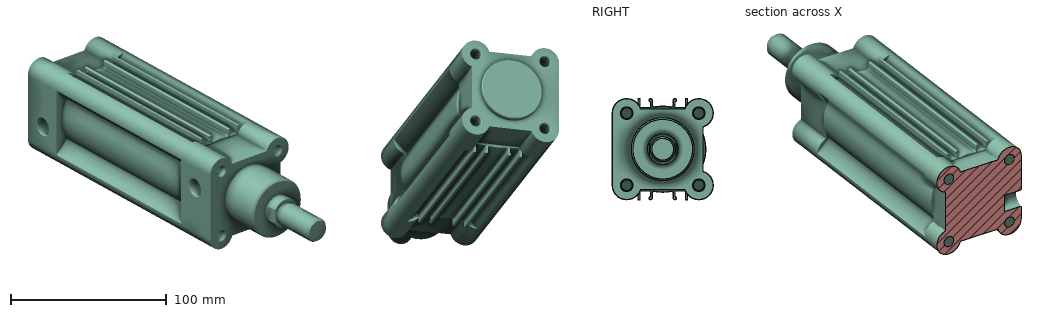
import cadquery as cq
import math


REAR_CAP_X = 4.0
TUBE_X = 33.0
FRONT_CAP_X = 159.8
FRONT_FACE_X = 189.5
BOSS_END_X = 218.0
SHOULDER_X = 226.4
THREAD_X = 229.5
ROD_END_X = 259.0

SIDE = 65.0
HALF_SIDE = SIDE / 2
EAR_RADIUS = 9.3
EAR_OFFSET = HALF_SIDE - EAR_RADIUS
FLAT_OFFSET = 26.0
BOSS_RADIUS = 20.2
REAR_BOSS_CHAMFER = 0.5
FRONT_BOSS_CHAMFER = 1.0
BOLT_HOLE_DIAMETER = 7.0
BOLT_HOLE_DEPTH = 15.5
PORT_DIAMETER = 11.7
PORT_DEPTH = 13.0
HOLE_CHAMFER = 0.5
PORT_SHIFT = 8.3
REAR_PORT_X = 19.2
FRONT_PORT_X = 174.0

TUBE_RADIUS = 27.7
RAIL_SLOPE = 11.7
SLOT_FLOOR = 27.0
SLOT_ROOT = 20.7
SLOT_WALL = 14.5
SLOT_FLOOR_EDGE = 18.1
WALL_THICKNESS = 1.5
RIB_INNER = 6.7
RIB_THICKNESS = 1.3
RIB_FOOT_WIDTH = 1.0
RIB_FOOT_TOP = 28.0
BEAD_RADIUS = 1.0

ROD_RADIUS = 9.8
FLAT_HALF_WIDTH = 8.5
FLAT_RUN_OUT_GAP = 0.5
THREAD_RADIUS = 8.0
UNDERCUT_RADIUS = 7.3
UNDERCUT_LENGTH = 1.5
THREAD_CHAMFER_LENGTH = 1.5
THREAD_CHAMFER_DEPTH = 1.0

EAR_CENTRES = [(y * EAR_OFFSET, z * EAR_OFFSET) for y in (-1, 1) for z in (-1, 1)]


def section_at(x):
    """Workplane across the axis at x, whose local axes are Y and Z."""
    return cq.Workplane("YZ", origin=(x, 0, 0))


def cap_block(x_start, x_end):
    """Square cap with four round ears, flat across the -Y side and recessed on the other three."""
    length = x_end - x_start
    core = section_at(x_start).rect(2 * FLAT_OFFSET, 2 * FLAT_OFFSET).extrude(length)
    ears = section_at(x_start).pushPoints(EAR_CENTRES).circle(EAR_RADIUS).extrude(length)
    side = (
        section_at(x_start)
        .center(-HALF_SIDE / 2, 0)
        .rect(HALF_SIDE, 2 * EAR_OFFSET)
        .extrude(length)
    )
    return core.union(ears).union(side)


def blind_hole(mouth, direction, diameter, depth):
    """Cutter for a blind round hole with a chamfered mouth."""
    radius = diameter / 2
    bore = cq.Solid.makeCylinder(radius, depth, mouth, direction)
    countersink = cq.Solid.makeCone(radius + HOLE_CHAMFER, radius, HOLE_CHAMFER, mouth, direction)
    return cq.Workplane(bore.fuse(countersink))


def cut_bolt_holes(cap, face_x, inward):
    """Cut one hole on each ear centre of the outer face; inward is +1 or -1 along X."""
    for y, z in EAR_CENTRES:
        mouth = cq.Vector(face_x, y, z)
        cap = cap.cut(blind_hole(mouth, cq.Vector(inward, 0, 0), BOLT_HOLE_DIAMETER, BOLT_HOLE_DEPTH))
    return cap


def port(x, z):
    """Cutter for an air port entering from the -Y side."""
    return blind_hole(cq.Vector(x, -HALF_SIDE, z), cq.Vector(0, 1, 0), PORT_DIAMETER, PORT_DEPTH)


def make_rear_cap():
    boss = (
        section_at(0)
        .circle(BOSS_RADIUS)
        .extrude(REAR_CAP_X)
        .faces("<X")
        .chamfer(REAR_BOSS_CHAMFER)
    )
    cap = cap_block(REAR_CAP_X, TUBE_X).union(boss)
    cap = cut_bolt_holes(cap, REAR_CAP_X, 1)
    return cap.cut(port(REAR_PORT_X, -PORT_SHIFT))


def make_front_cap():
    boss = (
        section_at(FRONT_FACE_X)
        .circle(BOSS_RADIUS)
        .extrude(BOSS_END_X - FRONT_FACE_X)
        .faces(">X")
        .chamfer(FRONT_BOSS_CHAMFER)
    )
    cap = cap_block(FRONT_CAP_X, FRONT_FACE_X).union(boss)
    cap = cut_bolt_holes(cap, FRONT_FACE_X, -1)
    return cap.cut(port(FRONT_PORT_X, PORT_SHIFT))


def extrude_tube_section(outline):
    return outline.close().extrude(FRONT_CAP_X - TUBE_X)


def corner_rail():
    """Rail in the +Y +Z corner: a quarter round with two 45-degree faces running in to the tube."""
    arc_middle = EAR_OFFSET + EAR_RADIUS * math.sqrt(0.5)
    root_near = EAR_OFFSET - RAIL_SLOPE
    root_far = HALF_SIDE - RAIL_SLOPE
    outline = (
        section_at(TUBE_X)
        .moveTo(EAR_OFFSET, HALF_SIDE)
        .threePointArc((arc_middle, arc_middle), (HALF_SIDE, EAR_OFFSET))
        .lineTo(root_far, root_near)
        .lineTo(root_near, root_far)
    )
    return extrude_tube_section(outline)


def slot_floor():
    """Flat floor of the sensor slot in the +Y +Z quarter, reaching under both of its walls."""
    outline = section_at(TUBE_X).polyline(
        [
            (RIB_INNER, SLOT_ROOT),
            (SLOT_FLOOR_EDGE, SLOT_ROOT),
            (SLOT_FLOOR_EDGE, SLOT_FLOOR),
            (RIB_INNER, SLOT_FLOOR),
        ]
    )
    return extrude_tube_section(outline)


def outer_slot_wall():
    """Upright wall between the slot and the corner rail."""
    outline = section_at(TUBE_X).polyline(
        [
            (SLOT_WALL, SLOT_FLOOR),
            (SLOT_WALL, HALF_SIDE),
            (SLOT_WALL + WALL_THICKNESS, HALF_SIDE),
            (SLOT_WALL + WALL_THICKNESS, SLOT_FLOOR),
        ]
    )
    return extrude_tube_section(outline)


def inner_slot_wall():
    """Thin rib with a round bead along its top and a sloping foot on the side away from the slot."""
    rib_outer = RIB_INNER + RIB_THICKNESS
    bead_height = HALF_SIDE - BEAD_RADIUS
    outline = section_at(TUBE_X).polyline(
        [
            (RIB_INNER - RIB_FOOT_WIDTH, SLOT_ROOT),
            (rib_outer, SLOT_ROOT),
            (rib_outer, bead_height),
            (RIB_INNER, bead_height),
            (RIB_INNER, RIB_FOOT_TOP),
            (RIB_INNER - RIB_FOOT_WIDTH, SLOT_FLOOR),
        ]
    )
    bead = (
        section_at(TUBE_X)
        .center(RIB_INNER + BEAD_RADIUS, bead_height)
        .circle(BEAD_RADIUS)
        .extrude(FRONT_CAP_X - TUBE_X)
    )
    return extrude_tube_section(outline).union(bead)


def make_tube():
    quarter = corner_rail().union(slot_floor()).union(outer_slot_wall()).union(inner_slot_wall())
    half = quarter.union(quarter.mirror("XZ"))
    barrel = section_at(TUBE_X).circle(TUBE_RADIUS).extrude(FRONT_CAP_X - TUBE_X)
    return barrel.union(half).union(half.mirror("XY"))


def rod_flat():
    """Cutter for the wrench flat on the +Y side, with a 45-degree run-out towards the boss."""
    flat_depth = ROD_RADIUS - FLAT_HALF_WIDTH
    flat_start = BOSS_END_X + FLAT_RUN_OUT_GAP
    return (
        cq.Workplane("XY", origin=(0, 0, -ROD_RADIUS))
        .polyline(
            [
                (flat_start, ROD_RADIUS),
                (flat_start + flat_depth, FLAT_HALF_WIDTH),
                (SHOULDER_X, FLAT_HALF_WIDTH),
                (SHOULDER_X, ROD_RADIUS),
            ]
        )
        .close()
        .extrude(2 * ROD_RADIUS)
    )


def make_rod():
    half_profile = cq.Workplane("XY").polyline(
        [
            (BOSS_END_X, 0),
            (BOSS_END_X, ROD_RADIUS),
            (SHOULDER_X, ROD_RADIUS),
            (SHOULDER_X, UNDERCUT_RADIUS),
            (SHOULDER_X + UNDERCUT_LENGTH, UNDERCUT_RADIUS),
            (THREAD_X, THREAD_RADIUS),
            (ROD_END_X - THREAD_CHAMFER_LENGTH, THREAD_RADIUS),
            (ROD_END_X, THREAD_RADIUS - THREAD_CHAMFER_DEPTH),
            (ROD_END_X, 0),
        ]
    )
    turned = half_profile.close().revolve(360, (0, 0, 0), (1, 0, 0))
    return turned.cut(rod_flat()).cut(rod_flat().mirror("XZ"))


rear_cap = make_rear_cap()
tube = make_tube()
front_cap = make_front_cap()
rod = make_rod()

result = cq.Compound.makeCompound([rear_cap.val(), tube.val(), front_cap.val(), rod.val()])